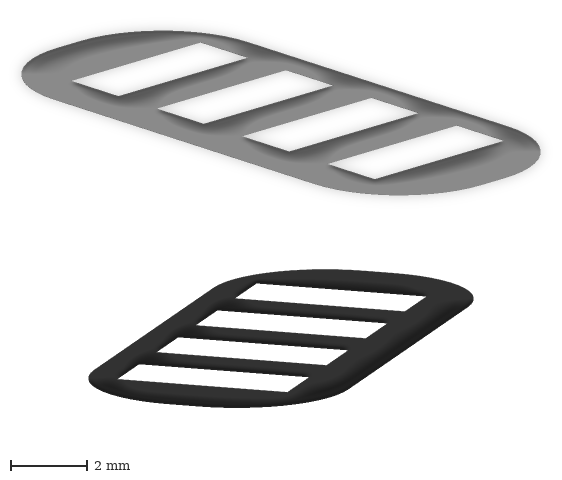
import cadquery as cq

plate_length = 16.03
plate_width = 7.01
plate_thickness = 0.01
corner_radius = 3.075

window_count = 4
window_width = 1.8
window_height = 4.7
window_pitch = 3.235
window_offset_x = -0.01
window_offset_y = 0.25


def make_plate():
    """Flat plate with its four corners rounded, resting on Z = 0."""
    return (
        cq.Workplane("XY")
        .rect(plate_length, plate_width)
        .extrude(plate_thickness)
        .edges("|Z")
        .fillet(corner_radius)
    )


def make_windows():
    """Evenly spaced cutters that pass through the plate."""
    return (
        cq.Workplane("XY")
        .center(window_offset_x, window_offset_y)
        .rarray(window_pitch, 1, window_count, 1)
        .rect(window_width, window_height)
        .extrude(plate_thickness)
    )


result = make_plate().cut(make_windows())